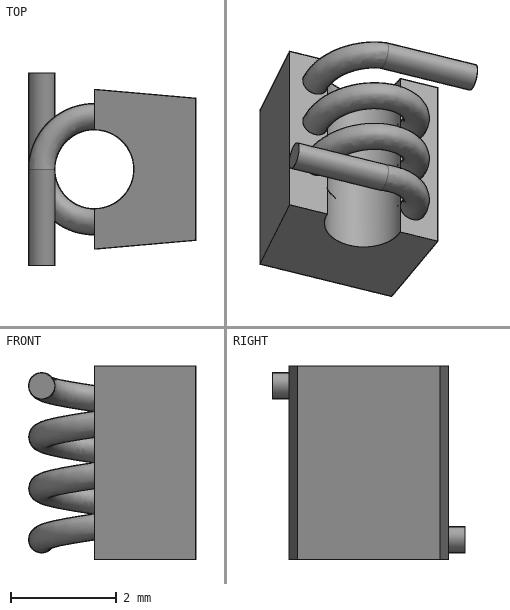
import cadquery as cq
import math

wire_radius = 0.25
coil_radius = 1.0
pitch = 0.975
turns = 3
coil_height = pitch * turns
leg_length = 1.83

block_depth = 1.93
block_height = 3.68
block_front_width = 3.04
side_taper = 5
block_back_width = block_front_width - 2 * block_depth * math.tan(math.radians(side_taper))

bore_skin = 0.002
bore_radius = coil_radius - wire_radius - bore_skin


def make_leg(z, length):
    """Straight wire end beside the coil; a positive length runs toward -Y."""
    return (
        cq.Workplane("XZ")
        .center(-coil_radius, z)
        .circle(wire_radius)
        .extrude(length)
    )


def make_coil():
    """Right-handed helix of round wire that starts and ends at x = -coil_radius."""
    helix = cq.Wire.makeHelix(pitch, coil_height, coil_radius)
    return (
        cq.Workplane("XZ")
        .center(coil_radius, 0)
        .circle(wire_radius)
        .sweep(cq.Workplane(helix), isFrenet=True)
        .rotate((0, 0, 0), (0, 0, 1), 180)
        .translate((0, 0, -coil_height / 2))
    )


def make_wire():
    """One continuous wire: bottom leg toward +Y, coil, top leg toward -Y."""
    bottom_leg = make_leg(-coil_height / 2, -leg_length)
    top_leg = make_leg(coil_height / 2, leg_length)
    return make_coil().union(bottom_leg).union(top_leg)


def make_block(wire):
    """Tapered block with a half-round bore and a helical channel that holds the wire."""
    base = cq.Workplane("XY").workplane(offset=-block_height / 2)
    outline = [
        (0, -block_front_width / 2),
        (block_depth, -block_back_width / 2),
        (block_depth, block_back_width / 2),
        (0, block_front_width / 2),
    ]
    body = base.polyline(outline).close().extrude(block_height)
    bore = base.circle(bore_radius).extrude(block_height)
    return body.cut(bore).cut(wire)


wire = make_wire()
block = make_block(wire)

result = cq.Compound.makeCompound([*wire.solids().vals(), *block.solids().vals()])